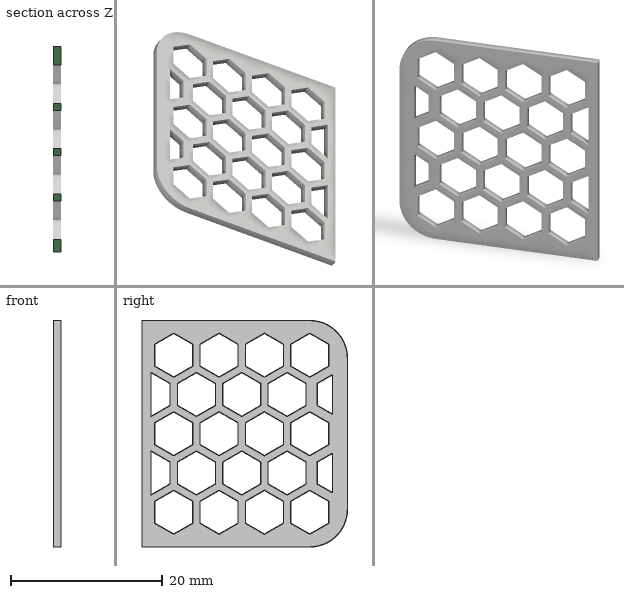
import cadquery as cq
import math

thickness = 1.0
plate_width = 27.21
plate_height = 30.0
corner_radius = 5.0
flare_length = 0.85
flare_rise = 0.01

hex_sides = 6
hex_flats = 5.0
hex_wall = 1.0
hex_pitch = hex_flats + hex_wall
row_pitch = hex_pitch * math.sqrt(3) / 2
hex_diameter = hex_flats * 2 / math.sqrt(3)
full_columns = 4
full_rows = (-2, 0, 2)
staggered_rows = (-1, 1)
first_column_inset = 5.0
rounded_side_frame = 2.0
edge_cell_inset = 1.5

first_column_y = plate_width - first_column_inset
half_cell_y = first_column_y - (full_columns - 0.5) * hex_pitch
edge_cell_y = plate_width - edge_cell_inset
window_end_y = plate_width - rounded_side_frame


def make_plate():
    """Plate with two rounded corners and slightly flared straight end."""
    half_height = plate_height / 2
    end_half_height = half_height + flare_rise
    arc_start_y = plate_width - corner_radius
    arc_end_z = half_height - corner_radius
    arc_mid_offset = corner_radius * math.sqrt(0.5)
    arc_mid_y = arc_start_y + arc_mid_offset
    arc_mid_z = arc_end_z + arc_mid_offset
    return (
        cq.Workplane("YZ")
        .moveTo(0, -end_half_height)
        .lineTo(flare_length, -half_height)
        .lineTo(arc_start_y, -half_height)
        .threePointArc((arc_mid_y, -arc_mid_z), (plate_width, -arc_end_z))
        .lineTo(plate_width, arc_end_z)
        .threePointArc((arc_mid_y, arc_mid_z), (arc_start_y, half_height))
        .lineTo(flare_length, half_height)
        .lineTo(0, end_half_height)
        .close()
        .extrude(thickness)
    )


def cell_centres():
    """Full rows alternate with staggered rows that end in cut-off cells."""
    centres = []
    for row in full_rows:
        for column in range(full_columns):
            centres.append((first_column_y - column * hex_pitch, row * row_pitch))
    for row in staggered_rows:
        centres.append((edge_cell_y, row * row_pitch))
        for column in range(full_columns):
            centres.append((half_cell_y + column * hex_pitch, row * row_pitch))
    return centres


def make_cells():
    """Hexagonal prisms, points along Z, trimmed to the window inside the frame."""
    window_width = window_end_y - half_cell_y
    window = (
        cq.Workplane("YZ")
        .center(half_cell_y + window_width / 2, 0)
        .rect(window_width, plate_height)
        .extrude(thickness)
    )
    hexagon = cq.Sketch().regularPolygon(hex_diameter / 2, hex_sides)
    cells = cq.Workplane("YZ").pushPoints(cell_centres()).placeSketch(hexagon).extrude(thickness)
    return cells.intersect(window)


result = make_plate().cut(make_cells())